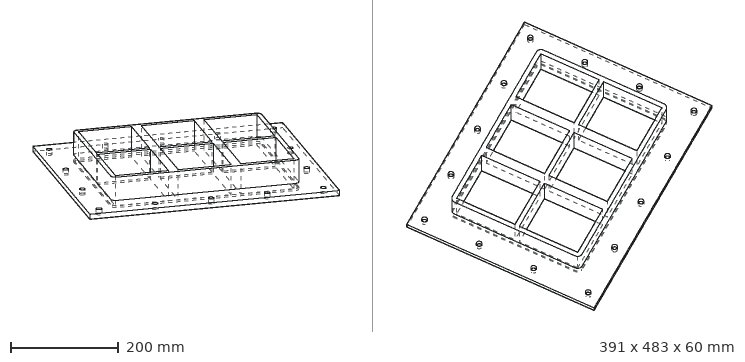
import cadquery as cq

plate_width = 391.0
plate_length = 483.0
plate_thickness = 10.0

frame_height = 60.0
frame_below_plate = 4.0
frame_corner_radius = 9.5
wall = 9.0

columns = 2
rows = 3
window_width = 121.5
window_length = 102.5
column_rib = 9.0
row_rib = 19.0
frame_width = columns * window_width + (columns - 1) * column_rib + 2 * wall
frame_length = rows * window_length + (rows - 1) * row_rib + 2 * wall

hole_diameter = 10.5
hole_columns = 4
hole_rows = 5
hole_span_x = 341.5
hole_span_y = 433.5


def rim_hole_centers():
    """Hole centres evenly spaced along all four edges of the plate."""
    centers = []
    for i in range(hole_columns):
        for j in range(hole_rows):
            if i in (0, hole_columns - 1) or j in (0, hole_rows - 1):
                x = hole_span_x * (i / (hole_columns - 1) - 0.5)
                y = hole_span_y * (j / (hole_rows - 1) - 0.5)
                centers.append((x, y))
    return centers


def make_plate():
    """Flat flange with its ring of bolt holes."""
    plate = (
        cq.Workplane("XY")
        .workplane(offset=frame_below_plate)
        .rect(plate_width, plate_length)
        .extrude(plate_thickness)
    )
    holes = (
        cq.Workplane("XY")
        .pushPoints(rim_hole_centers())
        .circle(hole_diameter / 2)
        .extrude(frame_height)
    )
    return plate.cut(holes)


def make_frame():
    """Solid block of the frame with rounded vertical corners."""
    return (
        cq.Workplane("XY")
        .rect(frame_width, frame_length)
        .extrude(frame_height)
        .edges("|Z")
        .fillet(frame_corner_radius)
    )


def make_windows():
    """Cutters for the windows, running the full height of the frame."""
    return (
        cq.Workplane("XY")
        .rarray(window_width + column_rib, window_length + row_rib, columns, rows)
        .rect(window_width, window_length)
        .extrude(frame_height)
    )


result = make_plate().union(make_frame()).cut(make_windows())